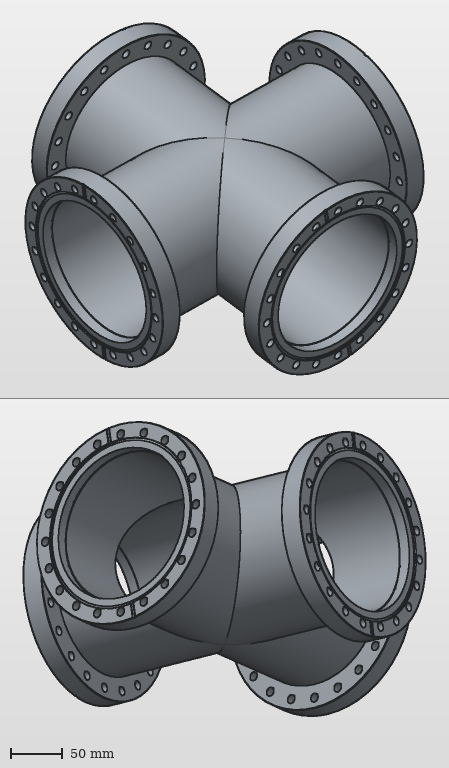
import cadquery as cq

span = 333.5
arm_count = 4

tube_outer_diameter = 154.0
tube_wall = 2.0
tube_inner_diameter = tube_outer_diameter - 2 * tube_wall

flange_diameter = 202.5
flange_thickness = 22.5
bore_diameter = 151.5
rim_chamfer = 0.5
socket_depth = 10.0
face_position = span / 2
back_position = face_position - flange_thickness
tube_end = back_position + socket_depth

recess_diameter = 171.0
recess_depth = 2.0
knife_diameter = 166.0
knife_depth = 1.0

bolt_count = 20
bolt_circle_diameter = 181.0
bolt_hole_diameter = 8.7
bolt_pitch = 360 / bolt_count
groove_count = 2
groove_width = 3.0
groove_depth = 1.0
groove_angle = bolt_pitch / 2


def cross_of_cylinders(diameter, length):
    """Two equal cylinders crossing at the origin, along X and along Y."""
    along_x = cq.Workplane("YZ").circle(diameter / 2).extrude(length / 2, both=True)
    along_y = cq.Workplane("XZ").circle(diameter / 2).extrude(length / 2, both=True)
    return along_x.union(along_y)


def make_cross_tube():
    outside = cross_of_cylinders(tube_outer_diameter, 2 * tube_end)
    return outside.cut(cross_of_cylinders(tube_inner_diameter, 2 * tube_end))


def make_flange_ring():
    """Ring revolved about Z: its back at zero height, its sealing face on top."""
    land_height = flange_thickness - knife_depth
    recess_floor = flange_thickness - recess_depth
    profile = (
        cq.Workplane("XZ")
        .moveTo(tube_outer_diameter / 2, 0)
        .lineTo(flange_diameter / 2 - rim_chamfer, 0)
        .lineTo(flange_diameter / 2, rim_chamfer)
        .lineTo(flange_diameter / 2, flange_thickness - rim_chamfer)
        .lineTo(flange_diameter / 2 - rim_chamfer, flange_thickness)
        .lineTo(recess_diameter / 2, flange_thickness)
        .lineTo(recess_diameter / 2, recess_floor)
        .lineTo(knife_diameter / 2, land_height)
        .lineTo(bore_diameter / 2, land_height)
        .lineTo(bore_diameter / 2, socket_depth)
        .lineTo(tube_outer_diameter / 2, socket_depth)
        .close()
    )
    return profile.revolve(360, (0, 0, 0), (0, 1, 0))


def cut_bolt_holes(flange):
    holes = (
        cq.Workplane("XY")
        .polarArray(bolt_circle_diameter / 2, 0, 360, bolt_count)
        .circle(bolt_hole_diameter / 2)
        .extrude(flange_thickness)
    )
    return flange.cut(holes)


def cut_leak_grooves(flange):
    """Radial grooves from the sealing recess out to the rim."""
    groove_inner = knife_diameter / 2
    groove_outer = flange_diameter / 2 + groove_width
    for index in range(groove_count):
        groove = (
            cq.Workplane("XY")
            .workplane(offset=flange_thickness - groove_depth)
            .center((groove_inner + groove_outer) / 2, 0)
            .rect(groove_outer - groove_inner, groove_width)
            .extrude(groove_depth)
            .rotate((0, 0, 0), (0, 0, 1), groove_angle + index * 360 / groove_count)
        )
        flange = flange.cut(groove)
    return flange


def make_flange(arm_angle):
    """Flange on the arm that points at arm_angle from +X about Z.

    Turning local Z onto +X leaves local X pointing down, so the grooves stay near top and bottom.
    """
    flange = cut_leak_grooves(cut_bolt_holes(make_flange_ring()))
    return (
        flange
        .translate((0, 0, back_position))
        .rotate((0, 0, 0), (0, 1, 0), 90)
        .rotate((0, 0, 0), (0, 0, 1), arm_angle)
    )


cross_tube = make_cross_tube()
flanges = [make_flange(index * 360 / arm_count) for index in range(arm_count)]

result = cq.Compound.makeCompound([cross_tube.val(), *[flange.val() for flange in flanges]])